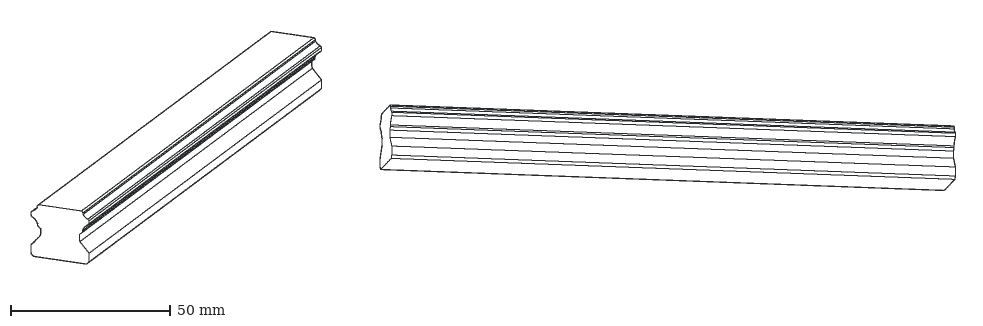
import cadquery as cq

length = 180
width = 20.0
height = 17.5

foot_chamfer = 0.9
flank_top = 3.8
slope_top_half_width = 6.8
slope_top = 7.2
waist_half_width = 6.7
waist_bottom = 8.0
waist_top = 9.5

relief_half_width = 7.7
relief_bottom = 10.5
relief_top = 11.0
groove_inner_half_width = 8.0
lower_groove_bottom = 11.5
upper_groove_top = 16.4
groove_sag = 0.2
land_bottom = 13.5
land_top = 14.5
land_chamfer = 0.45

shoulder_top = 17.0
top_half_width = 7.4

half_width = width / 2
groove_outer_half_width = half_width - land_chamfer


def rail_half_profile():
    """Right half of the cross-section, closed along the vertical centre line."""
    return (
        cq.Workplane("XZ")
        .lineTo(half_width - foot_chamfer, 0)
        .lineTo(half_width, foot_chamfer)
        .lineTo(half_width, flank_top)
        .lineTo(slope_top_half_width, slope_top)
        .lineTo(waist_half_width, waist_bottom)
        .lineTo(waist_half_width, waist_top)
        .lineTo(relief_half_width, relief_bottom)
        .lineTo(relief_half_width, relief_top)
        .lineTo(groove_inner_half_width, lower_groove_bottom)
        .sagittaArc((groove_outer_half_width, land_bottom - land_chamfer), groove_sag)
        .lineTo(half_width, land_bottom)
        .lineTo(half_width, land_top)
        .lineTo(groove_outer_half_width, land_top + land_chamfer)
        .sagittaArc((groove_inner_half_width, upper_groove_top), groove_sag)
        .lineTo(groove_inner_half_width, shoulder_top)
        .lineTo(top_half_width, height)
        .lineTo(0, height)
        .close()
    )


half_rail = rail_half_profile().extrude(length / 2, both=True)
result = half_rail.union(half_rail.mirror("YZ")).clean()